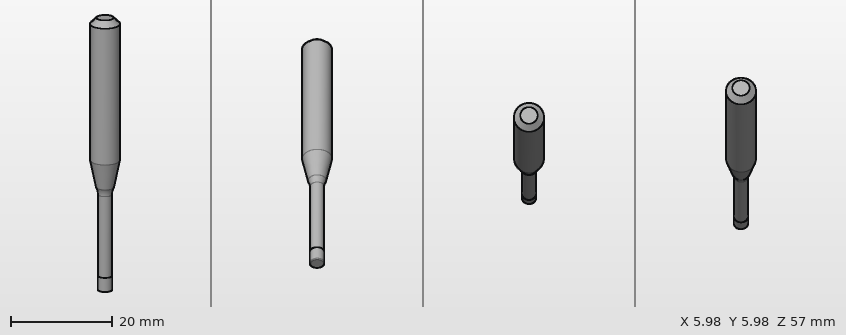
import cadquery as cq
import math

total_length = 57.0
shank_radius = 2.99

tip_radius = 1.5
tip_length = 3.0
tip_corner_radius = 0.2

neck_radius = 1.4
neck_top = 20.05
flare_top = 21.6
flare_top_radius = 1.8
cone_top = 27.25
top_chamfer = 1.28


def make_tip():
    """Short cylinder with a rounded lower edge, seated under the neck."""
    return cq.Workplane("XY").circle(tip_radius).extrude(tip_length).faces("<Z").fillet(tip_corner_radius)


def flare_midpoint():
    """Middle of the concave arc that leaves the neck parallel to its axis."""
    height = flare_top - neck_top
    widening = flare_top_radius - neck_radius
    arc_radius = (height**2 + widening**2) / (2 * widening)
    half_angle = math.asin(height / arc_radius) / 2
    return (
        neck_radius + arc_radius * (1 - math.cos(half_angle)),
        neck_top + arc_radius * math.sin(half_angle),
    )


def make_shank():
    """Revolve the half outline, radius along X and height along Z."""
    return (
        cq.Workplane("XZ")
        .moveTo(0, tip_length)
        .lineTo(neck_radius, tip_length)
        .lineTo(neck_radius, neck_top)
        .threePointArc(flare_midpoint(), (flare_top_radius, flare_top))
        .lineTo(shank_radius, cone_top)
        .lineTo(shank_radius, total_length - top_chamfer)
        .lineTo(shank_radius - top_chamfer, total_length)
        .lineTo(0, total_length)
        .close()
        .revolve(360, (0, 0, 0), (0, 1, 0))
    )


tip = make_tip()
shank = make_shank()

result = cq.Compound.makeCompound([tip.val(), shank.val()])